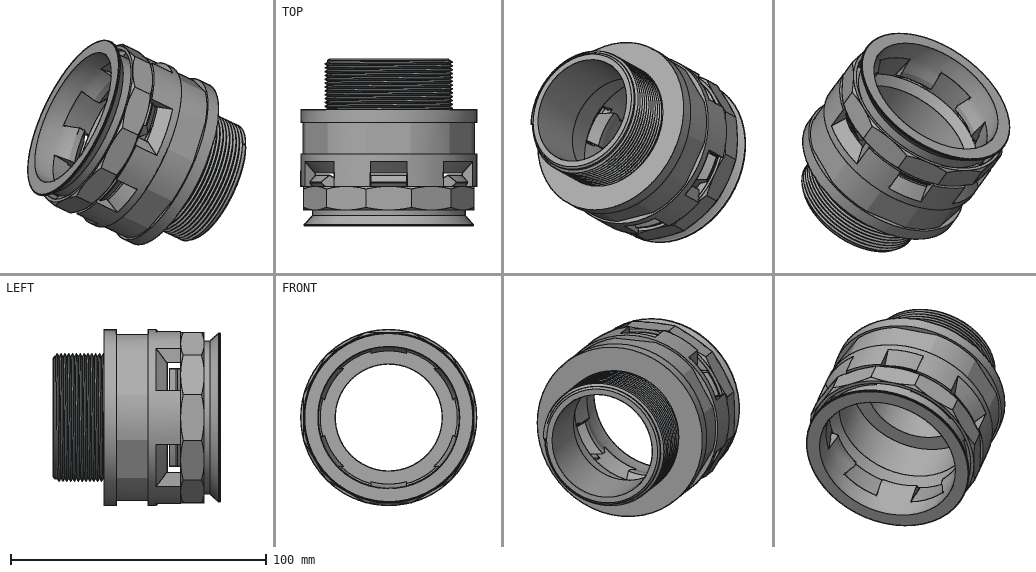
import cadquery as cq
import math


lip_y = 1.05
flare_end_y = 4.15
nut_start_y = 6.35
shoulder_y = 8.4
nut_end_y = 15.6
flats_start_y = 28.35
flats_end_y = 40.7
flange_end_y = 45.7
total_length = 65.55

body_radius = 34.5
flats_radius = 33.7
flat_distance = 32.6
flat_count = 6
sleeve_radius = 32.15
socket_radius = 30.0
socket_end_y = 20.8
socket_cone_end_y = 24.15
conduit_radius = 26.85
conduit_stop_y = 41.4
passage_radius = 20.9

window_half_width = 7.2
window_upright_x = 21.4
window_relief_z = 21.5

thread_turns = 13
thread_start_y = 44.7
thread_end_y = 64.3
thread_pitch = (thread_end_y - thread_start_y) / thread_turns
thread_radius = 25.05
thread_root_radius = 24.0
thread_end_radius = 23.2
thread_lead_in = 0.7
thread_bite = 0.2
thread_base_fraction = 0.96

nut_side_count = 12
nut_across_flats = 66.8
nut_chamfer = 1.05

neck_radius = 30.0
lip_radius = 33.2
lip_edge = 0.3
flare_radius = 32.8
mouth_radius = 27.75
shoulder_bore_radius = 27.6
throat_radius = 26.1
throat_start_y = 14.5
throat_end_y = 16.9
finger_tip_y = 20.0
finger_half_width = 7.05
side_finger_half_width = 6.55
side_finger_top_z = 19.1
finger_inner_x = 13.8
hook_radius = 32.6
hook_crest_start_y = 16.9
hook_crest_end_y = 17.4
hook_root_y = 14.0

reach = 2 * body_radius
side_angle = math.radians(60)
quadrants = [(1, 1), (1, -1), (-1, 1), (-1, -1)]


def revolved(profile):
    """Solid of revolution about Y from (radius, y) points."""
    return cq.Workplane("XY").polyline(profile).close().revolve(360, (0, 0), (0, 1))


def prism(outline, start_y, end_y):
    """Extrude an (x, z) outline along Y."""
    plane = cq.Workplane("XZ", origin=(0, start_y, 0))
    return plane.polyline(outline).close().extrude(start_y - end_y)


def lower_edge_z(x, half_width):
    """Height at x of the line lying half_width below the side opening's radial centre line."""
    return (x * math.cos(side_angle) - half_width) / math.sin(side_angle)


def upright_outlines(half_width):
    """Rectangles for the openings at the top and bottom of the part."""
    return [
        [(-half_width, 0), (half_width, 0), (half_width, side * reach), (-half_width, side * reach)]
        for side in (1, -1)
    ]


def mirrored_outlines(outline):
    """Copies of an outline in all four quadrants."""
    return [[(sx * x, sz * z) for x, z in outline] for sx, sz in quadrants]


def prisms(outlines, start_y, end_y):
    """One shape holding a prism for each outline."""
    shape = prism(outlines[0], start_y, end_y)
    for outline in outlines[1:]:
        shape = shape.union(prism(outline, start_y, end_y))
    return shape


def thread_ridge():
    """Right-hand helical ridge of V section, starting inside the flange."""
    inner_radius = thread_root_radius - thread_bite
    half_base = thread_base_fraction * thread_pitch / 2
    helix = cq.Wire.makeHelix(thread_pitch, thread_end_y - thread_start_y, inner_radius)
    ridge = (
        cq.Workplane("XZ")
        .polyline([(inner_radius, -half_base), (thread_radius, 0), (inner_radius, half_base)])
        .close()
        .sweep(cq.Workplane(helix), isFrenet=True)
    )
    return ridge.rotate((0, 0, 0), (1, 0, 0), -90).translate((0, thread_start_y, 0))


def finger_outlines():
    """Outlines, seen along Y, of the six fingers of the clamp ring."""
    corner_x = (side_finger_top_z * math.sin(side_angle) + side_finger_half_width) / math.cos(side_angle)
    side_outline = [
        (finger_inner_x, lower_edge_z(finger_inner_x, side_finger_half_width)),
        (corner_x, side_finger_top_z),
        (finger_inner_x, side_finger_top_z),
    ]
    return upright_outlines(finger_half_width) + mirrored_outlines(side_outline)


def window_cutter():
    """Six openings whose far wall is a 45 degree cone."""
    cone = revolved([
        (0, nut_end_y),
        (reach, nut_end_y),
        (reach, socket_end_y + reach - socket_radius),
        (socket_radius, socket_end_y),
        (0, socket_end_y),
    ])
    side_outline = [
        (finger_inner_x, lower_edge_z(finger_inner_x, window_half_width)),
        (reach, lower_edge_z(reach, window_half_width)),
        (reach, reach),
        (window_upright_x, reach),
        (window_upright_x, window_relief_z),
        (finger_inner_x, window_relief_z),
    ]
    outlines = upright_outlines(window_half_width) + mirrored_outlines(side_outline)
    return cone.intersect(prisms(outlines, nut_end_y, flats_start_y))


def make_housing():
    """Threaded housing with six flats, six windows and a slotted sleeve inside the nut."""
    body = revolved([
        (shoulder_bore_radius, shoulder_y),
        (sleeve_radius, shoulder_y),
        (sleeve_radius, nut_end_y),
        (body_radius, nut_end_y),
        (body_radius, flats_start_y),
        (flats_radius, flats_start_y),
        (flats_radius, flats_end_y),
        (body_radius, flats_end_y),
        (body_radius, flange_end_y),
        (thread_root_radius, flange_end_y),
        (thread_root_radius, total_length - thread_lead_in),
        (thread_end_radius, total_length),
        (passage_radius, total_length),
        (passage_radius, conduit_stop_y),
        (conduit_radius, conduit_stop_y),
        (conduit_radius, socket_cone_end_y),
        (socket_radius, socket_end_y),
    ])
    body = body.union(thread_ridge())
    for index in range(flat_count):
        flat = prism(
            [(-reach, flat_distance), (reach, flat_distance), (reach, reach), (-reach, reach)],
            flats_start_y,
            flats_end_y,
        )
        body = body.cut(flat.rotate((0, 0, 0), (0, 1, 0), index * 360 / flat_count))
    finger_slots = prisms(finger_outlines(), shoulder_y, nut_end_y)
    return body.cut(window_cutter()).cut(finger_slots)


def make_nut():
    """Twelve-sided ring with chamfered corners, around the housing sleeve."""
    flat_radius = nut_across_flats / 2
    corner_radius = flat_radius / math.cos(math.pi / nut_side_count)
    blank = (
        cq.Workplane("XZ", origin=(0, nut_start_y, 0))
        .polygon(nut_side_count, 2 * corner_radius)
        .extrude(nut_start_y - nut_end_y)
        .rotate((0, 0, 0), (0, 1, 0), 180 / nut_side_count)
    )
    envelope = revolved([
        (sleeve_radius, nut_start_y),
        (flat_radius, nut_start_y),
        (corner_radius, nut_start_y + nut_chamfer),
        (corner_radius, nut_end_y - nut_chamfer),
        (flat_radius, nut_end_y),
        (sleeve_radius, nut_end_y),
    ])
    return blank.intersect(envelope)


def make_clamp_ring():
    """Flared mouth ring carrying six hooked fingers."""
    profile = (
        cq.Workplane("XY")
        .moveTo(mouth_radius, 0)
        .lineTo(lip_radius - lip_edge, 0)
        .lineTo(lip_radius, lip_edge)
        .lineTo(lip_radius, lip_y - lip_edge)
        .lineTo(flare_radius, lip_y)
        .lineTo(neck_radius, flare_end_y)
        .lineTo(neck_radius, hook_root_y)
        .lineTo(hook_radius, hook_crest_start_y)
        .lineTo(hook_radius, hook_crest_end_y)
        .lineTo(neck_radius, finger_tip_y)
        .lineTo(throat_radius, throat_end_y)
        .lineTo(throat_radius, throat_start_y)
        .threePointArc((shoulder_bore_radius, shoulder_y), (mouth_radius, 0))
        .close()
    )
    full_ring = profile.revolve(360, (0, 0), (0, 1))
    kept = prisms(finger_outlines(), shoulder_y, finger_tip_y)
    base = revolved([(0, 0), (reach, 0), (reach, shoulder_y), (0, shoulder_y)])
    return full_ring.intersect(base.union(kept))


housing = make_housing()
nut = make_nut()
clamp_ring = make_clamp_ring()

result = cq.Compound.makeCompound([
    *housing.solids().vals(),
    *nut.solids().vals(),
    *clamp_ring.solids().vals(),
])